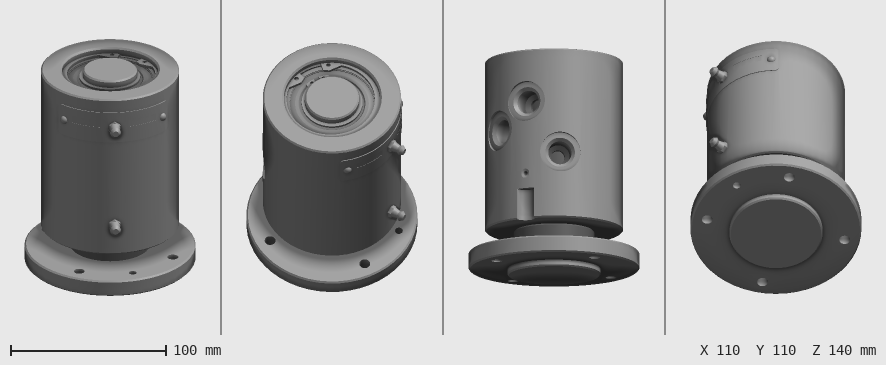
import cadquery as cq
import math

TOP_Z = 140.0
EDGE_CHAMFER = 1.0
FLANGE_DIA = 110.0
FLANGE_BOTTOM_Z = 4.0
FLANGE_TOP_Z = 15.0
SPIGOT_DIA = 60.0
NECK_DIA = 52.0
BARREL_DIA = 47.5
SHAFT_END_DIA = 35.0
INNER_RACE_DIA = 40.0
INNER_RACE_Z = 132.9
BEARING_HEIGHT = 10.0
BARREL_TOP_Z = INNER_RACE_Z - BEARING_HEIGHT
BOLT_CIRCLE_DIA = 90.0
BOLT_HOLE_DIA = 7.0
BOLT_COUNT = 4
DOWEL_HOLE_DIA = 5.0
DOWEL_ANGLE = -45.0

SHAFT_RING_Z = 133.7
SHAFT_RING_THICKNESS = 1.5
SHAFT_RING_RADIUS = 19.6
SHAFT_RING_SHIFT = -0.3
SHAFT_RING_GAP = 3.6
SHAFT_LUG_RADIUS = 21.8
SHAFT_LUG_HALF_WIDTH = 8.1
SHAFT_LUG_BASE_Y = 14.7
SHAFT_LUG_FILLET = 1.4
SHAFT_LUG_HOLE_DIA = 2.5
SHAFT_LUG_HOLE_X = 4.2
SHAFT_LUG_HOLE_Y = 19.3

HOUSING_DIA = 89.0
HOUSING_RADIUS = HOUSING_DIA / 2
HOUSING_BOTTOM_Z = 29.0
RECESS_DIA = 62.0
RECESS_CHAMFER = 1.1
RACE_FACE_Z = 134.0
SEAT_CHAMFER = 1.0
SEAT_BORE_DIA = 55.0
SEAT_BORE_DEPTH = 0.5
SEAL_DIA = 54.0
SEAL_RIM_Z = 132.9
SEAL_FACE_DIA = 47.5
SEAL_FACE_Z = 133.5
SEAL_LIP_DIA = 43.1
SEAL_LIP_CHAMFER = 0.7

BORE_RING_THICKNESS = 2.0
BORE_GROOVE_DIA = 65.0
BORE_RING_RADIUS = 28.4
BORE_RING_SHIFT = 1.7
BORE_LUG_FLAT_Y = 22.7
BORE_LUG_FLAT_X = 10.2
BORE_LUG_TIP = (6.9, 24.9)
BORE_LUG_ROOT_X = 8.4
BORE_LUG_HOLE_DIA = 3.0
BORE_LUG_HOLE_X = 11.6
BORE_LUG_HOLE_Y = 26.7

PORTS = [(90.0, 89.6), (120.0, 106.1), (150.0, 72.1)]
PORT_FACE_RADIUS = 42.0
SPOT_FACE_DIA = 26.0
PORT_MOUTH_DIA = 19.0
PORT_DIA = 15.0
PORT_DEPTH = 14.0
PORT_DRILL_DIA = 9.0
DRILL_POINT_ANGLE = 118.0

GROOVE_ANGLE = 120.0
GROOVE_DIA = 12.0
GROOVE_AXIS_RADIUS = 44.2
GROOVE_TOP_Z = 48.9
TAPPED_HOLE_Z = 58.7
TAPPED_HOLE_DIA = 3.0
TAPPED_MOUTH_DIA = 6.0
TAPPED_MOUTH_DEPTH = 0.5
TAPPED_HOLE_DEPTH = 10.0

NIPPLE_ANGLE = -60.0
NIPPLE_HEIGHTS = [50.3, 120.3]
NIPPLE_HEX_FLATS = 7.0
NIPPLE_HEX_HEIGHT = 2.2
NIPPLE_BODY_DIA = 7.0
NIPPLE_NECK_DIA = 5.0
NIPPLE_HEAD_DIA = 7.0
NIPPLE_TIP_DIA = 4.0
NIPPLE_NECK_LENGTH = 6.2
NIPPLE_HEAD_LENGTH = 8.1
NIPPLE_LENGTH = 10.4

PLATE_THICKNESS = 0.5
PLATE_HALF_ANGLE = 51.2
PLATE_Z = 120.3
PLATE_HEIGHT = 21.1
PLATE_CORNER_RADIUS = 2.5
PLATE_HOLE_DIA = 9.0
FIELD_START_ANGLE = 11.5
FIELD_END_ANGLE = 37.2
FIELD_BOTTOM_Z = 120.3
FIELD_TOP_Z = 125.2
FIELD_DEPTH = 0.1
RIVET_OFFSET_ANGLE = 45.0
RIVET_DIA = 5.5
RIVET_HEIGHT = 2.0
EMBED = 1.4


def disc(dia, bottom_z, top_z):
    return cq.Workplane("XY").workplane(offset=bottom_z).circle(dia / 2).extrude(top_z - bottom_z)


def radial_turning(profile, angle, z):
    """Turn a profile of (distance from the Z axis, own radius) points about a radial line."""
    turned = cq.Workplane("XY").polyline(profile).close().revolve(360, (0, 0, 0), (1, 0, 0))
    return turned.rotate((0, 0, 0), (0, 0, 1), angle).translate((0, 0, z))


def radial_cylinder(dia, start, end, angle, z):
    radius = dia / 2
    return radial_turning([(start, 0), (start, radius), (end, radius), (end, 0)], angle, z)


def curved_band(inner, outer, start_angle, end_angle, bottom_z, top_z):
    """Part of a tube about Z, from start_angle counter-clockwise to end_angle."""
    band = (
        cq.Workplane("XZ")
        .moveTo((inner + outer) / 2, (bottom_z + top_z) / 2)
        .rect(outer - inner, top_z - bottom_z)
        .revolve(end_angle - start_angle, (0, 0, 0), (0, 1, 0))
    )
    return band.rotate((0, 0, 0), (0, 0, 1), start_angle)


def shaft_ring():
    ring_sketch = cq.Workplane("XY").workplane(offset=SHAFT_RING_Z)
    ring = ring_sketch.center(0, SHAFT_RING_SHIFT).circle(SHAFT_RING_RADIUS).extrude(SHAFT_RING_THICKNESS)
    lug_height = SHAFT_LUG_RADIUS - SHAFT_LUG_BASE_Y
    lugs = (
        ring_sketch.center(0, SHAFT_LUG_BASE_Y + lug_height / 2)
        .rect(2 * SHAFT_LUG_HALF_WIDTH, lug_height)
        .extrude(SHAFT_RING_THICKNESS)
        .intersect(ring_sketch.circle(SHAFT_LUG_RADIUS).extrude(SHAFT_RING_THICKNESS))
    )
    ring = ring.union(lugs)
    flank_reach = SHAFT_LUG_HALF_WIDTH + SHAFT_LUG_FILLET
    flank_corners = cq.selectors.BoxSelector(
        (-flank_reach, SHAFT_LUG_BASE_Y, SHAFT_RING_Z - SHAFT_RING_THICKNESS),
        (flank_reach, SHAFT_LUG_HOLE_Y, SHAFT_RING_Z + 2 * SHAFT_RING_THICKNESS),
    )
    ring = ring.edges("|Z").edges(flank_corners).fillet(SHAFT_LUG_FILLET)
    gap = (
        ring_sketch.center(0, SHAFT_LUG_RADIUS / 2)
        .rect(SHAFT_RING_GAP, SHAFT_LUG_RADIUS)
        .extrude(SHAFT_RING_THICKNESS)
    )
    holes = (
        ring_sketch.pushPoints([(side * SHAFT_LUG_HOLE_X, SHAFT_LUG_HOLE_Y) for side in (-1, 1)])
        .circle(SHAFT_LUG_HOLE_DIA / 2)
        .extrude(SHAFT_RING_THICKNESS)
    )
    return ring.cut(gap).cut(holes)


def make_rotor():
    spigot = disc(SPIGOT_DIA, 0, FLANGE_BOTTOM_Z).faces("<Z").chamfer(EDGE_CHAMFER)
    flange = disc(FLANGE_DIA, FLANGE_BOTTOM_Z, FLANGE_TOP_Z).edges().chamfer(EDGE_CHAMFER)
    bolt_holes = (
        cq.Workplane("XY")
        .polarArray(BOLT_CIRCLE_DIA / 2, 0, 360, BOLT_COUNT)
        .circle(BOLT_HOLE_DIA / 2)
        .extrude(FLANGE_TOP_Z)
    )
    dowel_hole = (
        disc(DOWEL_HOLE_DIA, 0, FLANGE_TOP_Z)
        .translate((BOLT_CIRCLE_DIA / 2, 0, 0))
        .rotate((0, 0, 0), (0, 0, 1), DOWEL_ANGLE)
    )
    flange = flange.cut(bolt_holes).cut(dowel_hole)
    neck = disc(NECK_DIA, FLANGE_TOP_Z, HOUSING_BOTTOM_Z).faces(">Z").chamfer(EDGE_CHAMFER)
    barrel = disc(BARREL_DIA, HOUSING_BOTTOM_Z, BARREL_TOP_Z)
    inner_race = disc(INNER_RACE_DIA, BARREL_TOP_Z, INNER_RACE_Z)
    shaft_end = disc(SHAFT_END_DIA, INNER_RACE_Z, TOP_Z).faces(">Z").chamfer(EDGE_CHAMFER)
    rotor = spigot.union(flange).union(neck).union(barrel).union(inner_race)
    return rotor.union(shaft_end).union(shaft_ring())


def housing_shell():
    shell = disc(HOUSING_DIA, HOUSING_BOTTOM_Z, TOP_Z).edges().chamfer(EDGE_CHAMFER)
    bore_profile = [
        (0, HOUSING_BOTTOM_Z),
        (BARREL_DIA / 2, HOUSING_BOTTOM_Z),
        (BARREL_DIA / 2, BARREL_TOP_Z),
        (INNER_RACE_DIA / 2, BARREL_TOP_Z),
        (INNER_RACE_DIA / 2, INNER_RACE_Z),
        (SEAL_LIP_DIA / 2 - SEAL_LIP_CHAMFER, INNER_RACE_Z),
        (SEAL_LIP_DIA / 2, SEAL_FACE_Z),
        (SEAL_FACE_DIA / 2, SEAL_FACE_Z),
        (SEAL_DIA / 2, SEAL_RIM_Z),
        (SEAL_DIA / 2, RACE_FACE_Z - SEAT_BORE_DEPTH),
        (SEAT_BORE_DIA / 2, RACE_FACE_Z - SEAT_BORE_DEPTH),
        (SEAT_BORE_DIA / 2, RACE_FACE_Z),
        (RECESS_DIA / 2 - SEAT_CHAMFER, RACE_FACE_Z),
        (RECESS_DIA / 2, RACE_FACE_Z - SEAT_CHAMFER),
        (RECESS_DIA / 2, RACE_FACE_Z),
        (BORE_GROOVE_DIA / 2, RACE_FACE_Z),
        (BORE_GROOVE_DIA / 2, RACE_FACE_Z + BORE_RING_THICKNESS),
        (RECESS_DIA / 2, RACE_FACE_Z + BORE_RING_THICKNESS),
        (RECESS_DIA / 2, TOP_Z - RECESS_CHAMFER),
        (RECESS_DIA / 2 + RECESS_CHAMFER, TOP_Z),
        (0, TOP_Z),
    ]
    bore = cq.Workplane("XZ").polyline(bore_profile).close().revolve(360, (0, 0, 0), (0, 1, 0))
    return shell.cut(bore)


def bore_ring():
    ring_sketch = cq.Workplane("XY").workplane(offset=RACE_FACE_Z)
    outer_radius = BORE_GROOVE_DIA / 2
    blank = ring_sketch.circle(outer_radius).extrude(BORE_RING_THICKNESS)
    ring = blank.cut(
        ring_sketch.center(0, BORE_RING_SHIFT).circle(BORE_RING_RADIUS).extrude(BORE_RING_THICKNESS)
    )
    tip_x, tip_y = BORE_LUG_TIP
    for side in (-1, 1):
        lug_outline = [
            (side * BORE_LUG_FLAT_X, BORE_LUG_FLAT_Y),
            (side * tip_x, tip_y),
            (side * BORE_LUG_ROOT_X, outer_radius),
            (side * outer_radius, outer_radius),
            (side * outer_radius, BORE_LUG_FLAT_Y),
        ]
        lug = ring_sketch.polyline(lug_outline).close().extrude(BORE_RING_THICKNESS)
        hole = (
            ring_sketch.center(side * BORE_LUG_HOLE_X, BORE_LUG_HOLE_Y)
            .circle(BORE_LUG_HOLE_DIA / 2)
            .extrude(BORE_RING_THICKNESS)
        )
        ring = ring.union(lug.intersect(blank)).cut(hole)
    gap_outline = [
        (-tip_x, tip_y),
        (tip_x, tip_y),
        (BORE_LUG_ROOT_X, outer_radius),
        (-BORE_LUG_ROOT_X, outer_radius),
    ]
    return ring.cut(ring_sketch.polyline(gap_outline).close().extrude(BORE_RING_THICKNESS))


def port_cutter(angle, z):
    mouth_depth = (PORT_MOUTH_DIA - PORT_DIA) / 2
    floor = PORT_FACE_RADIUS - PORT_DEPTH
    point_height = (PORT_DIA - PORT_DRILL_DIA) / 2 / math.tan(math.radians(DRILL_POINT_ANGLE / 2))
    profile = [
        (0, 0),
        (0, PORT_DRILL_DIA / 2),
        (floor - point_height, PORT_DRILL_DIA / 2),
        (floor, PORT_DIA / 2),
        (PORT_FACE_RADIUS - mouth_depth, PORT_DIA / 2),
        (PORT_FACE_RADIUS, PORT_MOUTH_DIA / 2),
        (PORT_FACE_RADIUS, SPOT_FACE_DIA / 2),
        (HOUSING_RADIUS + EMBED, SPOT_FACE_DIA / 2),
        (HOUSING_RADIUS + EMBED, 0),
    ]
    return radial_turning(profile, angle, z)


def groove_cutter():
    groove = disc(GROOVE_DIA, HOUSING_BOTTOM_Z, GROOVE_TOP_Z).translate((GROOVE_AXIS_RADIUS, 0, 0))
    return groove.rotate((0, 0, 0), (0, 0, 1), GROOVE_ANGLE)


def tapped_hole_cutter():
    profile = [
        (HOUSING_RADIUS - TAPPED_HOLE_DEPTH, 0),
        (HOUSING_RADIUS - TAPPED_HOLE_DEPTH, TAPPED_HOLE_DIA / 2),
        (HOUSING_RADIUS - TAPPED_MOUTH_DEPTH, TAPPED_HOLE_DIA / 2),
        (HOUSING_RADIUS, TAPPED_MOUTH_DIA / 2),
        (HOUSING_RADIUS + EMBED, TAPPED_MOUTH_DIA / 2),
        (HOUSING_RADIUS + EMBED, 0),
    ]
    return radial_turning(profile, GROOVE_ANGLE, TAPPED_HOLE_Z)


def nameplate():
    outer = HOUSING_RADIUS + PLATE_THICKNESS
    plate = curved_band(
        HOUSING_RADIUS - EMBED,
        outer,
        NIPPLE_ANGLE - PLATE_HALF_ANGLE,
        NIPPLE_ANGLE + PLATE_HALF_ANGLE,
        PLATE_Z - PLATE_HEIGHT / 2,
        PLATE_Z + PLATE_HEIGHT / 2,
    )
    plate = plate.edges("%LINE and (not |Z)").fillet(PLATE_CORNER_RADIUS)
    plate = plate.cut(disc(HOUSING_DIA, HOUSING_BOTTOM_Z, TOP_Z))
    nipple_hole = radial_cylinder(
        PLATE_HOLE_DIA, HOUSING_RADIUS - EMBED, outer + EMBED, NIPPLE_ANGLE, PLATE_Z
    )
    plate = plate.cut(nipple_hole)
    for side in (-1, 1):
        ends = sorted((side * FIELD_START_ANGLE, side * FIELD_END_ANGLE))
        field = curved_band(
            outer - FIELD_DEPTH,
            outer + EMBED,
            NIPPLE_ANGLE + ends[0],
            NIPPLE_ANGLE + ends[1],
            FIELD_BOTTOM_Z,
            FIELD_TOP_Z,
        )
        plate = plate.cut(field)
    return plate


def rivet(angle):
    plate_surface = HOUSING_RADIUS + PLATE_THICKNESS
    radius = RIVET_DIA / 2
    dome_radius = (radius**2 + RIVET_HEIGHT**2) / (2 * RIVET_HEIGHT)
    dome_centre = plate_surface + RIVET_HEIGHT - dome_radius
    half_arc = math.asin(radius / dome_radius) / 2
    arc_middle = (dome_centre + dome_radius * math.cos(half_arc), dome_radius * math.sin(half_arc))
    turned = (
        cq.Workplane("XY")
        .moveTo(HOUSING_RADIUS - EMBED, 0)
        .lineTo(HOUSING_RADIUS - EMBED, radius)
        .lineTo(plate_surface, radius)
        .threePointArc(arc_middle, (plate_surface + RIVET_HEIGHT, 0))
        .close()
        .revolve(360, (0, 0, 0), (1, 0, 0))
    )
    return turned.rotate((0, 0, 0), (0, 0, 1), angle).translate((0, 0, PLATE_Z))


def grease_nipple(z):
    hex_corners_dia = NIPPLE_HEX_FLATS / math.cos(math.radians(30))
    hexagon = (
        cq.Workplane("YZ")
        .workplane(offset=HOUSING_RADIUS - EMBED)
        .polygon(6, hex_corners_dia)
        .extrude(EMBED + NIPPLE_HEX_HEIGHT)
        .rotate((0, 0, 0), (1, 0, 0), 90)
        .rotate((0, 0, 0), (0, 0, 1), NIPPLE_ANGLE)
        .translate((0, 0, z))
    )
    profile = [
        (HOUSING_RADIUS, 0),
        (HOUSING_RADIUS, NIPPLE_BODY_DIA / 2),
        (HOUSING_RADIUS + NIPPLE_HEX_HEIGHT, NIPPLE_BODY_DIA / 2),
        (HOUSING_RADIUS + NIPPLE_NECK_LENGTH, NIPPLE_NECK_DIA / 2),
        (HOUSING_RADIUS + NIPPLE_HEAD_LENGTH, NIPPLE_HEAD_DIA / 2),
        (HOUSING_RADIUS + NIPPLE_LENGTH, NIPPLE_TIP_DIA / 2),
        (HOUSING_RADIUS + NIPPLE_LENGTH, 0),
    ]
    return hexagon.union(radial_turning(profile, NIPPLE_ANGLE, z))


def make_housing():
    housing = housing_shell().union(bore_ring())
    for angle, z in PORTS:
        housing = housing.cut(port_cutter(angle, z))
    housing = housing.cut(groove_cutter()).cut(tapped_hole_cutter())
    housing = housing.union(nameplate())
    for side in (-1, 1):
        housing = housing.union(rivet(NIPPLE_ANGLE + side * RIVET_OFFSET_ANGLE))
    for z in NIPPLE_HEIGHTS:
        housing = housing.union(grease_nipple(z))
    return housing


rotor = make_rotor()
housing = make_housing()

result = cq.Compound.makeCompound([rotor.val(), housing.val()])